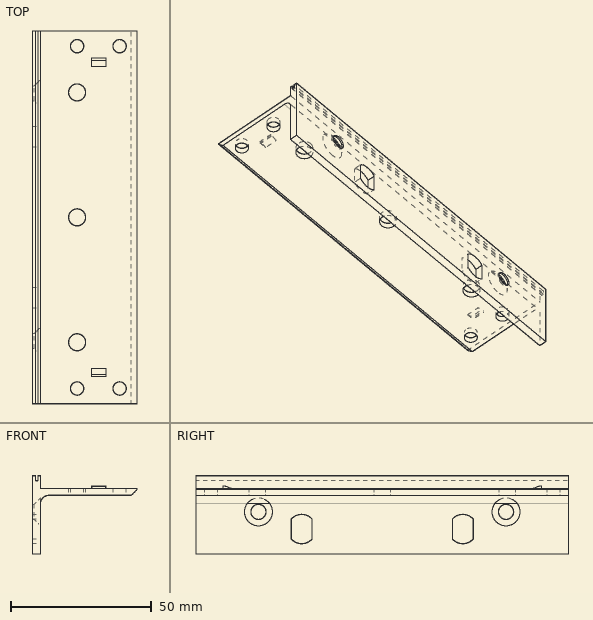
import cadquery as cq

length = 132.5
depth = 37.2
height = 27.8

wall_thickness = 2.9
shelf_thickness = 2.5
shelf_drop = 4.5
root_radius = 2.9
edge_bevel = 2.1
shelf_top = height - shelf_drop
shelf_bottom = shelf_top - shelf_thickness

groove_width = 0.8
groove_depth = 1.7
groove_x = 1.6

corner_hole_diameter = 4.6
corner_hole_end_distance = 5.5
inner_row_x = 15.9
outer_row_x = 31.0
shelf_hole_diameter = 6.0
shelf_hole_spacing = 44.4

wall_hole_diameter = 5.3
countersink_diameter = 10.0
countersink_half_angle = 45
countersink_depth = (countersink_diameter - wall_hole_diameter) / 2
wall_hole_spacing = 88.0
wall_hole_z = 15.0
slot_diameter = 10.0
slot_width = 7.3
slot_height = 10.3
slot_spacing = 57.3
slot_z = 8.9

lug_start_x = 21.1
lug_length = 5.0
lug_width = 2.9
lug_crest_width = 0.8
lug_height = 0.8
lug_end_distance = 9.7


def angle_section():
    """L-shaped bar with a filleted root and a bevelled shelf edge."""
    outline = (
        cq.Workplane("XZ")
        .lineTo(wall_thickness, 0)
        .lineTo(wall_thickness, shelf_bottom - root_radius)
        .radiusArc((wall_thickness + root_radius, shelf_bottom), root_radius)
        .lineTo(depth - edge_bevel, shelf_bottom)
        .lineTo(depth, shelf_bottom + edge_bevel)
        .lineTo(depth, shelf_top)
        .lineTo(wall_thickness, shelf_top)
        .lineTo(wall_thickness, height)
        .lineTo(0, height)
        .close()
    )
    return outline.extrude(length / 2, both=True)


def groove():
    return cq.Workplane("XY").box(groove_width, length, 2 * groove_depth).translate((groove_x, 0, height))


def shelf_holes():
    corner_y = length / 2 - corner_hole_end_distance
    corners = [(x, y) for x in (inner_row_x, outer_row_x) for y in (-corner_y, corner_y)]
    row = [(inner_row_x, i * shelf_hole_spacing) for i in (-1, 0, 1)]
    base = cq.Workplane("XY").workplane(offset=shelf_bottom)
    small = base.pushPoints(corners).circle(corner_hole_diameter / 2).extrude(shelf_thickness)
    large = base.pushPoints(row).circle(shelf_hole_diameter / 2).extrude(shelf_thickness)
    return small.union(large)


def wall_openings():
    """Round holes and slots with flat sides and shallow round ends, mirrored about Y = 0."""
    base = cq.Workplane("YZ")
    hole_points = [(side * wall_hole_spacing / 2, wall_hole_z) for side in (-1, 1)]
    slot_points = [(side * slot_spacing / 2, slot_z) for side in (-1, 1)]
    holes = base.pushPoints(hole_points).circle(wall_hole_diameter / 2).extrude(wall_thickness)
    rounds = base.pushPoints(slot_points).slot2D(slot_height, slot_diameter, 90).extrude(wall_thickness)
    flats = base.pushPoints(slot_points).rect(slot_width, slot_height).extrude(wall_thickness)
    sinks = (
        base.workplane(offset=wall_thickness)
        .pushPoints(hole_points)
        .circle(countersink_diameter / 2)
        .extrude(-countersink_depth, taper=countersink_half_angle)
    )
    return holes.union(sinks).union(rounds.intersect(flats))


def lug():
    """Lug near the +Y end with an upright outer face, a flat crest and an inward slope."""
    outer_y = length / 2 - lug_end_distance
    return (
        cq.Workplane("YZ")
        .workplane(offset=lug_start_x)
        .moveTo(outer_y, shelf_top)
        .lineTo(outer_y, shelf_top + lug_height)
        .lineTo(outer_y - lug_crest_width, shelf_top + lug_height)
        .lineTo(outer_y - lug_width, shelf_top)
        .close()
        .extrude(lug_length)
    )


bracket = angle_section().cut(groove()).cut(shelf_holes()).cut(wall_openings())
result = bracket.union(lug()).union(lug().mirror("XZ"))